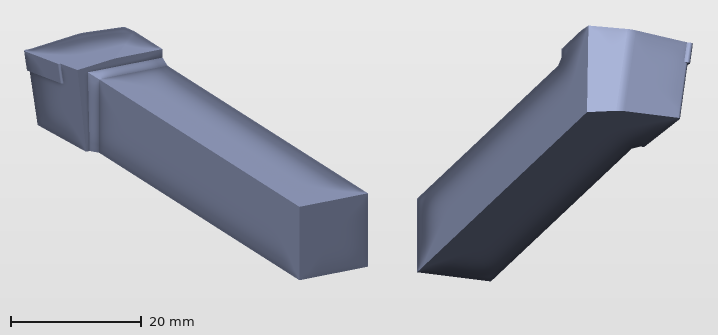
import cadquery as cq
import math

shank_size = 12.0
total_length = 79.73
shank_start_x = 16.76

neck_rise = 0.68
neck_front_step = 0.9
neck_overlap = 0.5

head_height = 14.2
head_right_bottom_x = 15.45
head_right_top_x = 15.15

rake_angle_x = 5.7
rake_angle_y = 6.0
rake_slope_x = math.tan(math.radians(rake_angle_x))
rake_slope_y = math.tan(math.radians(rake_angle_y))
rake_origin_z = 12.305
edge_angle = 3.0

head_left_u = 0.22
relief_corner_u = 3.3
relief_angle = 27.5
relief_blend_radius = 2.7
head_front_setback = 0.3
nose_radius = 0.4

insert_side = 11.0
insert_thickness = 3.18
nose_center_u = 0.363
nose_center_v = -3.58

oversize = 20.0

rake_plane = cq.Plane(
    origin=(0, 0, rake_origin_z),
    xDir=(1, 0, rake_slope_x),
    normal=(-rake_slope_x, -rake_slope_y, 1),
)


def along_cutting_edge(distance, offset):
    """Rake-plane point at a distance along, and an offset behind, the cutting edge line."""
    turn = math.radians(edge_angle)
    behind = offset - nose_radius
    u = nose_center_u + distance * math.cos(turn) - behind * math.sin(turn)
    v = nose_center_v + distance * math.sin(turn) + behind * math.cos(turn)
    return (u, v)


def fillet_upright_edge(body, corner, radius):
    """Round the head prism edge that runs square to the rake plane from an outline corner."""
    point = rake_plane.toWorldCoords((*corner, -oversize / 2)).toTuple()
    return body.edges(cq.selectors.NearestToPointSelector(point)).fillet(radius)


def make_insert():
    """Equilateral insert with rounded corners, flush with the rake plane."""
    corner_start = -nose_radius * math.sqrt(3)
    corner_end = corner_start + insert_side
    corners = [
        along_cutting_edge(corner_start, 0),
        along_cutting_edge(corner_end, 0),
        along_cutting_edge((corner_start + corner_end) / 2, insert_side * math.sqrt(3) / 2),
    ]
    blank = cq.Workplane(rake_plane).polyline(corners).close().extrude(-insert_thickness)
    return blank.edges(cq.selectors.ParallelDirSelector(rake_plane.zDir)).fillet(nose_radius)


def make_head_prism():
    """Head outline extruded square to the rake plane, longer than the finished head."""
    front_slope = math.tan(math.radians(edge_angle))
    relief_run = math.tan(math.radians(relief_angle))
    front_u, front_v = along_cutting_edge(0, head_front_setback)
    far_u = oversize
    far_v = shank_size + oversize
    nose = (head_left_u, front_v + (head_left_u - front_u) * front_slope)
    relief = (head_left_u, shank_size - (relief_corner_u - head_left_u) / relief_run)
    outline = [
        nose,
        (far_u, front_v + (far_u - front_u) * front_slope),
        (far_u, far_v),
        (relief_corner_u + (far_v - shank_size) * relief_run, far_v),
        relief,
    ]
    prism = (
        cq.Workplane(rake_plane).workplane(offset=-oversize)
        .polyline(outline).close().extrude(oversize)
    )
    prism = fillet_upright_edge(prism, nose, nose_radius)
    return fillet_upright_edge(prism, relief, relief_blend_radius)


def make_head():
    """Head prism trimmed to the flat top, bottom, back and slightly leaning right face."""
    envelope_profile = [
        (-oversize, 0),
        (head_right_bottom_x, 0),
        (head_right_top_x, head_height),
        (-oversize, head_height),
    ]
    envelope = (
        cq.Workplane("XZ", origin=(0, shank_size, 0))
        .polyline(envelope_profile).close().extrude(shank_size + oversize)
    )
    return make_head_prism().intersect(envelope)


def make_neck():
    """Taper from the shank section up to the head on the top and front sides."""
    length = shank_start_x - head_right_bottom_x
    scale = 1 + neck_overlap / length
    front_step = neck_front_step * scale
    rise = neck_rise * scale
    return (
        cq.Workplane("YZ", origin=(shank_start_x, 0, 0))
        .rect(shank_size, shank_size, centered=False)
        .workplane(offset=-length * scale)
        .moveTo(-front_step, 0)
        .lineTo(shank_size, 0)
        .lineTo(shank_size, shank_size + rise)
        .lineTo(-front_step, shank_size + rise)
        .close()
        .loft(ruled=True)
    )


def make_shank():
    """Square bar behind the neck."""
    length = total_length - shank_start_x
    return (
        cq.Workplane("XY", origin=(shank_start_x, 0, 0))
        .box(length, shank_size, shank_size, centered=False)
    )


insert = make_insert()
holder = make_shank().union(make_neck()).union(make_head()).cut(insert)

result = cq.Compound.makeCompound([holder.val(), insert.val()])